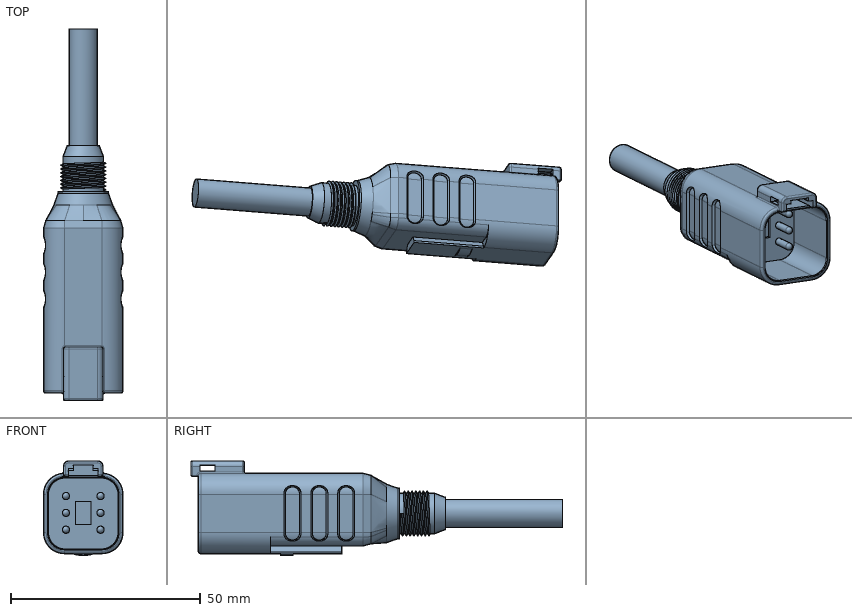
import cadquery as cq


OVERALL_LENGTH = 98.25
OVERALL_HEIGHT = 25.02

WIDTH = 21.0
TOP = 10.65
SHELL_BOTTOM = -TOP
REAR_BOTTOM = -8.6
CORNER_RADIUS = 5.6
REAR_FLOOR_RADIUS = 3.0
MOUTH_ROUND = 0.7
MOUTH_CHAMFER = 0.25

HOOD_OVERHANG = 1.95
CABLE_END = OVERALL_LENGTH - HOOD_OVERHANG
SHELL_END = 19.1
REAR_END = 43.6
SHOULDER_END = 45.6
TAPER_END = 49.8
COLLAR_START = 52.8
COLLAR_END = 53.25
SLEEVE_END = 62.5
SLEEVE_TIP = 65.4

WALL = 1.3
CAVITY_DEPTH = 18.0
PIN_RADIUS = 0.95
PIN_LENGTH = 6.6
PIN_SPACING_X = 9.14
PIN_SPACING_Z = 4.45
PIN_CENTER_Z = 0.15
KEY_WIDTH = 4.0
KEY_HEIGHT = 6.0
KEY_DEPTH = 1.0

HOOD_WIDTH = 10.5
HOOD_TOP = 13.9
HOOD_END = 12.2
HOOD_ROUND = 1.5
HOOD_LIP_BOTTOM = 9.8
HOOD_EDGE_ROUND = 0.5
HOOD_BASE_ROUND = 0.35
CHANNEL_WIDTH = 7.9
CHANNEL_FLOOR = 10.05
CHANNEL_CEILING = 11.9
CATCH_BOTTOM = 11.35
SLOT_WIDTH = 5.2
SLOT_CEILING = 12.8
HOOD_BACK_WALL = 1.2
WINDOW_START = 0.5
WINDOW_LENGTH = 3.9
WINDOW_BOTTOM = 11.25
WINDOW_HEIGHT = 1.45

GRIP_COUNT = 3
GRIP_FIRST = 24.9
GRIP_PITCH = 7.1
GRIP_WIDTH = 4.5
GRIP_HEIGHT = 15.4
GRIP_DEPTH = 0.65
GRIP_REACH = 1.5
GRIP_TAPER = 33

RAIL_END = 37.95
RAIL_NECK_WIDTH = 6.0
RAIL_WIDTH = 9.0
RAIL_LIP = 0.5
BUMP_START = 21.8
BUMP_LENGTH = 3.3
BUMP_WIDTH = 5.8
BUMP_BOTTOM = HOOD_TOP - OVERALL_HEIGHT

SHOULDER_INSET = 0.55
TAPER_RADIUS = 7.75
COLLAR_RADIUS = 6.7
SLEEVE_RADIUS = 10.77 / 2
SLEEVE_TIP_RADIUS = 4.25
CABLE_RADIUS = 7.5 / 2
THREAD_START = 53.35
THREAD_PITCH = 1.0
THREAD_TURNS = 7.25
THREAD_HEIGHT = 0.6
THREAD_BASE = 0.8
THREAD_ROOT = 0.1


THIN_SLAB = 1.0

SELECT_MARGIN = 0.2


def plane_at(y):
    """XZ plane at a station along the axis, facing +Y; its local y runs along Z."""
    return cq.Plane(origin=(0, y, 0), xDir=(-1, 0, 0), normal=(0, 1, 0))


def box(x_width, y_start, y_end, z_bottom, z_top):
    """Block centred on X = 0."""
    block = cq.Workplane("XY").box(x_width, y_end - y_start, z_top - z_bottom, centered=False)
    return block.translate((-x_width / 2, y_start, z_bottom))


def section_wire(y, inset=0.0):
    """Closed rounded-square outline of the shell, optionally offset inwards."""
    sketch = cq.Sketch().rect(WIDTH - 2 * inset, TOP - SHELL_BOTTOM - 2 * inset)
    sketch = sketch.vertices().fillet(CORNER_RADIUS - inset)
    return cq.Workplane(plane_at(y)).placeSketch(sketch).extrude(THIN_SLAB).faces("<Y").wires().val()


def prism(wire, length):
    return cq.Workplane(cq.Solid.extrudeLinear(wire, [], cq.Vector(0, length, 0)))


def loft(first, second):
    return cq.Workplane(cq.Solid.makeLoft([first, second], True))


def rear_prism(y_start, y_end, inset=0.0):
    """Shell section cut off at the higher rear floor, the floor blended into the sides."""
    block = prism(section_wire(y_start, inset), y_end - y_start)
    floor = REAR_BOTTOM + inset
    block = block.cut(box(WIDTH, y_start, y_end, SHELL_BOTTOM, floor))
    floor_edges = block.faces("<Z").edges("|Y")
    return floor_edges.fillet(REAR_FLOOR_RADIUS - inset)


def rear_wire(y, inset=0.0):
    """Closed outline of the rear section, optionally offset inwards."""
    return rear_prism(y, y + THIN_SLAB, inset).faces("<Y").wires().val()


def make_housing():
    shell = prism(section_wire(0), SHELL_END)
    shell = shell.faces("<Y").edges().fillet(MOUTH_ROUND)
    return shell.union(rear_prism(SHELL_END, REAR_END))


def make_tail():
    """Shoulder and taper behind the housing, then collar, sleeve and cable turned about Y."""
    edge = rear_wire(REAR_END)
    shoulder = rear_wire(SHOULDER_END, SHOULDER_INSET)
    axis = cq.Vector(0, 1, 0)
    circle = cq.Wire.makeCircle(TAPER_RADIUS, cq.Vector(0, TAPER_END, 0), axis)
    tail = loft(edge, shoulder).union(loft(shoulder, circle))
    turned = (
        cq.Workplane("XY")
        .polyline(
            [
                (0, TAPER_END),
                (TAPER_RADIUS, TAPER_END),
                (COLLAR_RADIUS, COLLAR_START),
                (COLLAR_RADIUS, COLLAR_END),
                (SLEEVE_RADIUS, COLLAR_END),
                (SLEEVE_RADIUS, SLEEVE_END),
                (SLEEVE_TIP_RADIUS, SLEEVE_TIP),
                (CABLE_RADIUS, SLEEVE_TIP),
                (CABLE_RADIUS, CABLE_END),
                (0, CABLE_END),
            ]
        )
        .close()
        .revolve(360, (0, 0, 0), (0, 1, 0))
    )
    return tail.union(turned)


def make_thread():
    """Helical V ridge around the sleeve."""
    root = SLEEVE_RADIUS - THREAD_ROOT
    crest = SLEEVE_RADIUS + THREAD_HEIGHT
    path = cq.Wire.makeHelix(THREAD_PITCH, THREAD_PITCH * THREAD_TURNS, root)
    ridge = (
        cq.Workplane("XZ")
        .polyline([(root, -THREAD_BASE / 2), (crest, 0), (root, THREAD_BASE / 2)])
        .close()
        .sweep(cq.Workplane(path), isFrenet=True)
    )
    start = THREAD_START + THREAD_BASE / 2
    return ridge.rotate((0, 0, 0), (1, 0, 0), -90).translate((0, start, 0))


def make_hood():
    hood = box(HOOD_WIDTH, -HOOD_OVERHANG, HOOD_END, HOOD_LIP_BOTTOM, HOOD_TOP)
    hood = hood.edges("|Y and >Z").fillet(HOOD_ROUND)
    hood = hood.faces("<Y").edges().fillet(HOOD_EDGE_ROUND)
    return hood.faces(">Y").edges("not <Z").fillet(HOOD_EDGE_ROUND)


def join_hood(body):
    """Adds the hood and blends its foot into the top of the housing."""
    body = body.union(make_hood())
    half = HOOD_WIDTH / 2 + SELECT_MARGIN
    foot_zone = cq.selectors.BoxSelector(
        (-half, MOUTH_ROUND - SELECT_MARGIN, TOP - SELECT_MARGIN),
        (half, HOOD_END + SELECT_MARGIN, TOP + SELECT_MARGIN),
    )
    return body.edges(foot_zone).fillet(HOOD_BASE_ROUND)


def cut_hood(body):
    channel_end = HOOD_END - HOOD_BACK_WALL
    window_end = WINDOW_START + WINDOW_LENGTH
    channel = box(CHANNEL_WIDTH, -HOOD_OVERHANG, window_end, CHANNEL_FLOOR, CHANNEL_CEILING)
    rear_channel = box(CHANNEL_WIDTH, window_end, channel_end, CHANNEL_FLOOR, CATCH_BOTTOM)
    lip_gap = box(CHANNEL_WIDTH, -HOOD_OVERHANG, 0, HOOD_LIP_BOTTOM, CHANNEL_CEILING)
    slot = box(SLOT_WIDTH, -HOOD_OVERHANG, channel_end, CHANNEL_FLOOR, SLOT_CEILING)
    window = box(HOOD_WIDTH, WINDOW_START, window_end, WINDOW_BOTTOM, WINDOW_BOTTOM + WINDOW_HEIGHT)
    return body.cut(channel).cut(rear_channel).cut(lip_gap).cut(slot).cut(window)


def make_cavity():
    """Socket with a bevelled mouth and a shallow rectangular key recess in its floor."""
    cavity = prism(section_wire(0, WALL), CAVITY_DEPTH)
    bevel = loft(section_wire(0, WALL - MOUTH_CHAMFER), section_wire(MOUTH_CHAMFER, WALL))
    cavity = cavity.union(bevel)
    key = box(KEY_WIDTH, CAVITY_DEPTH, CAVITY_DEPTH + KEY_DEPTH, -KEY_HEIGHT / 2, KEY_HEIGHT / 2)
    return cavity.union(key.translate((0, 0, PIN_CENTER_Z)))


def make_pins():
    """Two columns of three round contacts with hemispherical tips."""
    root = CAVITY_DEPTH + KEY_DEPTH
    tip_center = CAVITY_DEPTH - PIN_LENGTH + PIN_RADIUS
    pin = cq.Workplane(plane_at(tip_center)).circle(PIN_RADIUS).extrude(root - tip_center)
    pin = pin.union(cq.Workplane(plane_at(tip_center)).sphere(PIN_RADIUS))
    pins = cq.Workplane("XY")
    for column in (-0.5, 0.5):
        for row in (-1, 0, 1):
            place = (column * PIN_SPACING_X, 0, PIN_CENTER_Z + row * PIN_SPACING_Z)
            pins = pins.add(pin.translate(place))
    return pins.combine()


def cut_grips(body):
    """Sunk finger grips whose floors follow the rounded sides at an even depth."""
    length = (GRIP_COUNT + 1) * GRIP_PITCH
    start = GRIP_FIRST - GRIP_PITCH
    core = prism(section_wire(start, GRIP_DEPTH), length)
    for side in (-1, 1):
        for index in range(GRIP_COUNT):
            face = cq.Plane(
                origin=(side * WIDTH / 2, GRIP_FIRST + index * GRIP_PITCH, 0),
                xDir=(0, 0, 1),
                normal=(-side, 0, 0),
            )
            grip = cq.Workplane(face).slot2D(GRIP_HEIGHT, GRIP_WIDTH).extrude(GRIP_REACH, taper=GRIP_TAPER)
            body = body.cut(grip.cut(core))
    return body


def make_rail():
    """Dovetail rail that widens downwards, with a low rounded bump beneath it."""
    neck = RAIL_NECK_WIDTH / 2
    foot = RAIL_WIDTH / 2
    lip_top = SHELL_BOTTOM + RAIL_LIP
    rail = (
        cq.Workplane(plane_at(SHELL_END))
        .polyline(
            [
                (-neck, REAR_BOTTOM),
                (neck, REAR_BOTTOM),
                (foot, lip_top),
                (foot, SHELL_BOTTOM),
                (-foot, SHELL_BOTTOM),
                (-foot, lip_top),
            ]
        )
        .close()
        .extrude(RAIL_END - SHELL_END)
    )
    bump = (
        cq.Workplane(plane_at(BUMP_START))
        .moveTo(-BUMP_WIDTH / 2, SHELL_BOTTOM)
        .threePointArc((0, BUMP_BOTTOM), (BUMP_WIDTH / 2, SHELL_BOTTOM))
        .close()
        .extrude(BUMP_LENGTH)
    )
    return rail.union(bump)


housing = make_housing().cut(make_cavity())
housing = cut_grips(cut_hood(join_hood(housing)))
result = housing.union(make_tail()).union(make_thread()).union(make_rail()).union(make_pins())